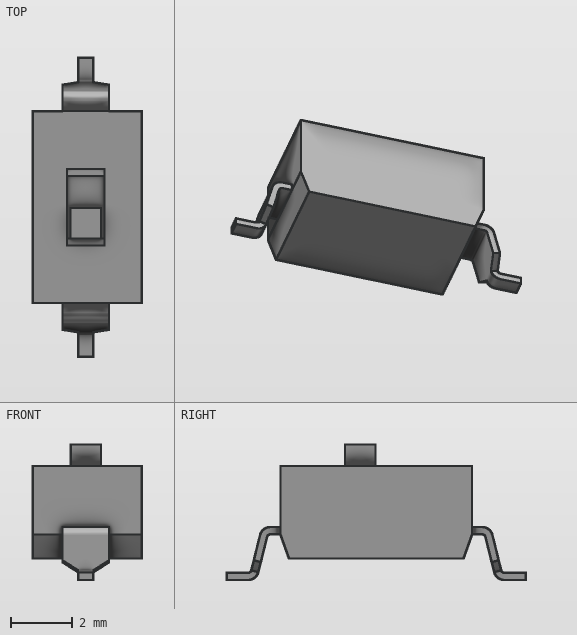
import cadquery as cq
import math

body_width = 3.58
body_length = 6.29
body_height = 3.04
body_bottom = 0.71
body_top = body_bottom + body_height
taper_height = 0.79
taper_inset = 0.28

switch_x = -0.05

slot_width = 1.22
slot_length = 2.52
shelf_depth = 0.08
shelf_length = 0.24
floor_depth = 0.27

knob_size = 1.0
knob_height = 0.71
knob_y = -slot_length / 2 + shelf_length + knob_size / 2

lead_span = 9.8
lead_thickness = 0.245
lead_width = 1.54
foot_width = 0.5
lead_top = body_bottom + taper_height + lead_thickness
lead_shoulder_y = 3.74
lead_angle = math.radians(14)
bend_inner_radius = 0.11
bend_outer_radius = bend_inner_radius + lead_thickness
neck_start = 1.13
neck_end = 1.47
lead_embed = 0.1


def make_housing():
    """Box with its two end walls tapered inward near the bottom."""
    half = body_length / 2
    taper_top = body_bottom + taper_height
    return (
        cq.Workplane("YZ")
        .polyline([
            (-half, body_top),
            (half, body_top),
            (half, taper_top),
            (half - taper_inset, body_bottom),
            (-half + taper_inset, body_bottom),
            (-half, taper_top),
        ])
        .close()
        .extrude(body_width / 2, both=True)
    )


def make_slot():
    """Shallow slot with a deeper well between its two end shelves."""
    top = cq.Workplane("XY", origin=(switch_x, 0, body_top))
    shallow = top.rect(slot_width, slot_length).extrude(-shelf_depth)
    well = top.rect(slot_width, slot_length - 2 * shelf_length).extrude(-floor_depth)
    return shallow.union(well)


def make_knob():
    return (
        cq.Workplane("XY", origin=(switch_x, knob_y, body_top - floor_depth))
        .rect(knob_size, knob_size)
        .extrude(floor_depth + knob_height)
    )


def make_lead():
    """Lead at the +Y end: a bent strip that necks down to a narrow foot."""
    root = body_length / 2 - lead_embed
    tip = lead_span / 2

    def outer_y(z):
        return lead_shoulder_y + (lead_top - z) * math.tan(lead_angle)

    def inner_y(z):
        return outer_y(z) - lead_thickness / math.cos(lead_angle)

    under = lead_top - lead_thickness
    upper_outer = (outer_y(lead_top), lead_top)
    upper_inner = (inner_y(under), under)
    lower_inner = (outer_y(lead_thickness), lead_thickness)
    lower_outer = (inner_y(0), 0)

    strip = (
        cq.Workplane("YZ", origin=(switch_x, 0, 0))
        .polyline([
            (root, lead_top),
            upper_outer,
            lower_inner,
            (tip, lead_thickness),
            (tip, 0),
            lower_outer,
            upper_inner,
            (root, under),
        ])
        .close()
        .extrude(lead_width / 2, both=True)
    )
    bends = [
        (upper_outer, bend_outer_radius),
        (upper_inner, bend_inner_radius),
        (lower_inner, bend_inner_radius),
        (lower_outer, bend_outer_radius),
    ]
    for (y, z), radius in bends:
        corner = cq.selectors.NearestToPointSelector((switch_x, y, z))
        strip = strip.edges("|X").edges(corner).fillet(radius)

    leg_plane = cq.Plane(
        origin=(switch_x, lead_shoulder_y, lead_top),
        xDir=(-1, 0, 0),
        normal=(0, math.cos(lead_angle), math.sin(lead_angle)),
    )
    reach = lead_span / 2
    outline = (
        cq.Workplane(leg_plane)
        .polyline([
            (-lead_width / 2, reach),
            (lead_width / 2, reach),
            (lead_width / 2, -neck_start),
            (foot_width / 2, -neck_end),
            (foot_width / 2, -reach),
            (-foot_width / 2, -reach),
            (-foot_width / 2, -neck_end),
            (-lead_width / 2, -neck_start),
        ])
        .close()
        .extrude(reach, both=True)
    )
    return strip.intersect(outline)


lead = make_lead()
result = (
    make_housing()
    .cut(make_slot())
    .union(make_knob())
    .union(lead)
    .union(lead.mirror("XZ"))
)